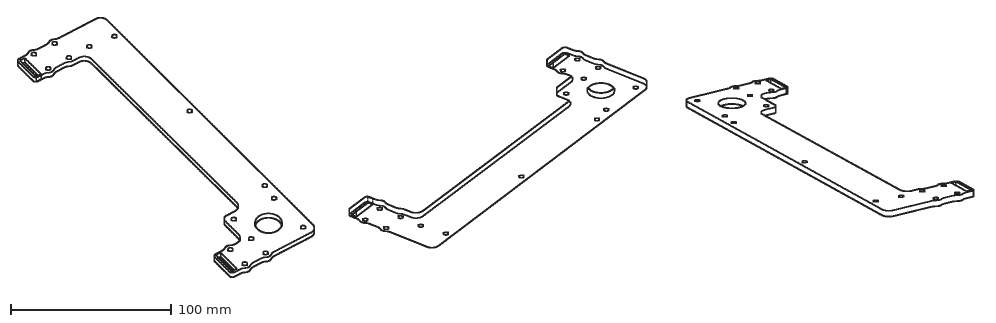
import cadquery as cq
import math

thickness = 4.0
body_half_width = 114.5
top_y = 33.08
bottom_y = -top_y

leg_inner_x = 94.75

leg_corner_radius = 2.0
top_corner_radius = 5.0
inner_corner_radius = 5.5

motor_x = 92.4
motor_y = top_y - 21.75
motor_bore_diameter = 17.0
motor_screw_pitch = 31.0
motor_pad_margin = 5.3
motor_pad_corner_radius = 3.5
motor_pad_left_x = motor_x - motor_screw_pitch / 2 - motor_pad_margin
motor_pad_bottom_y = motor_y - motor_screw_pitch / 2 - motor_pad_margin

screw_diameter = 3.1
leg_screw_outer_x = 112.245
leg_screw_pitch_x = 15.25
leg_screw_inner_x = leg_screw_outer_x - leg_screw_pitch_x
leg_screw_pitch_y = 16.0
leg_screw_upper_y = top_y - 38.35
leg_screw_lower_y = leg_screw_upper_y - leg_screw_pitch_y
top_screw_first_x = -95.4
top_screw_pitch = 80.0
top_screw_count = 3
top_screw_y = top_y - 4.5
side_screw_x = -97.4
side_screw_y = top_y - 22.35

boss_radius = 3.75
boss_blend_radius = 5.0

left_inner_edge_x = boss_radius - leg_screw_inner_x
left_beam_bottom_y = top_y - 27.75
right_beam_bottom_y = top_y - 27.25

slot_outer_x = 112.8
slot_inner_x = 95.55
slot_height = 3.6
slot_y = top_y - 62.7


def make_plate():
    """Extrude the outline, with square corners, then round each corner."""
    outline = [
        (-body_half_width, top_y),
        (body_half_width, top_y),
        (body_half_width, bottom_y),
        (leg_inner_x, bottom_y),
        (leg_inner_x, motor_pad_bottom_y),
        (motor_pad_left_x, motor_pad_bottom_y),
        (motor_pad_left_x, right_beam_bottom_y),
        (left_inner_edge_x, left_beam_bottom_y),
        (left_inner_edge_x, leg_screw_upper_y),
        (-leg_inner_x, leg_screw_upper_y),
        (-leg_inner_x, bottom_y),
        (-body_half_width, bottom_y),
    ]
    plate = cq.Workplane("XY").polyline(outline).close().extrude(thickness)

    rounded_corners = [
        (-body_half_width, top_y, top_corner_radius),
        (body_half_width, top_y, top_corner_radius),
        (leg_inner_x, motor_pad_bottom_y, inner_corner_radius),
        (motor_pad_left_x, motor_pad_bottom_y, motor_pad_corner_radius),
        (motor_pad_left_x, right_beam_bottom_y, inner_corner_radius),
        (left_inner_edge_x, left_beam_bottom_y, inner_corner_radius),
    ]
    for side in (-1, 1):
        for x in (leg_inner_x, body_half_width):
            rounded_corners.append((side * x, bottom_y, leg_corner_radius))

    for x, y, radius in rounded_corners:
        corner = cq.selectors.NearestToPointSelector((x, y, thickness / 2))
        plate = plate.edges("|Z").edges(corner).fillet(radius)
    return plate


def make_boss(x, y, edge_x):
    """Round boss centred on a screw, blended tangentially into the plate edge at edge_x."""
    outward = math.copysign(1, edge_x - x)
    blend_x = edge_x + outward * boss_blend_radius
    center_distance = boss_radius + boss_blend_radius
    blend_rise = math.sqrt(center_distance**2 - (blend_x - x) ** 2)

    touch_ratio = boss_radius / center_distance
    touch_x = x + (blend_x - x) * touch_ratio
    touch_rise = blend_rise * touch_ratio

    blend_angle = math.atan2(blend_rise, abs(blend_x - x)) / 2
    middle_x = blend_x - outward * boss_blend_radius * math.cos(blend_angle)
    middle_rise = blend_rise - boss_blend_radius * math.sin(blend_angle)

    return (
        cq.Workplane("XY")
        .moveTo(x, y + blend_rise)
        .lineTo(edge_x, y + blend_rise)
        .threePointArc((middle_x, y + middle_rise), (touch_x, y + touch_rise))
        .threePointArc((x + outward * boss_radius, y), (touch_x, y - touch_rise))
        .threePointArc((middle_x, y - middle_rise), (edge_x, y - blend_rise))
        .lineTo(x, y - blend_rise)
        .close()
        .extrude(thickness)
    )


def add_bosses(plate):
    """Bosses on the outer edges, and on the free inner edges of the legs."""
    for side in (-1, 1):
        for y in (leg_screw_upper_y, leg_screw_lower_y):
            plate = plate.union(make_boss(side * leg_screw_outer_x, y, side * body_half_width))
        plate = plate.union(make_boss(side * leg_screw_inner_x, leg_screw_lower_y, side * leg_inner_x))
    return plate.union(make_boss(-leg_screw_inner_x, leg_screw_upper_y, -leg_inner_x))


def screw_positions():
    """Centres of all the screw holes."""
    points = [(side_screw_x, side_screw_y)]
    for index in range(top_screw_count):
        points.append((top_screw_first_x + index * top_screw_pitch, top_screw_y))
    for side in (-1, 1):
        for x in (leg_screw_inner_x, leg_screw_outer_x):
            for y in (leg_screw_upper_y, leg_screw_lower_y):
                points.append((side * x, y))
    half_pitch = motor_screw_pitch / 2
    for x_sign, y_sign in ((-1, 1), (1, 1), (-1, -1)):
        points.append((motor_x + x_sign * half_pitch, motor_y + y_sign * half_pitch))
    return points


def cut_openings(plate):
    """Cut the screw holes, the motor bore and the belt slots through the plate."""
    screws = cq.Workplane("XY").pushPoints(screw_positions()).circle(screw_diameter / 2).extrude(thickness)
    bore = cq.Workplane("XY").center(motor_x, motor_y).circle(motor_bore_diameter / 2).extrude(thickness)
    slot_middle_x = (slot_inner_x + slot_outer_x) / 2
    slots = (
        cq.Workplane("XY")
        .pushPoints([(-slot_middle_x, slot_y), (slot_middle_x, slot_y)])
        .rect(slot_outer_x - slot_inner_x, slot_height)
        .extrude(thickness)
    )
    return plate.cut(screws).cut(bore).cut(slots)


result = cut_openings(add_bosses(make_plate()))